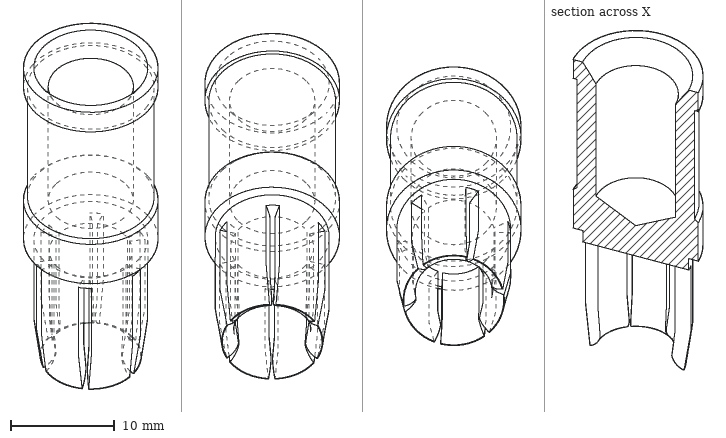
import cadquery as cq
import math

total_height = 37.0
rim_height = 2.5
collar_bottom = 15.0
collar_top = 20.42
bend_height = 5.0
slot_top = 13.5

rim_radius = 13.0 / 2
barrel_radius = 12.2 / 2
plug_radius = 11.0 / 2
tip_radius = 9.75 / 2

mouth_radius = 11.0 / 2
cup_radius = 8.2 / 2
countersink_depth = 2.4
cup_depth = 17.02
drill_point_angle = 118.0

socket_radius = 4.0
throat_radius = 3.7
throat_height = 1.75
nose_radius = 4.05
nose_height = 0.8
tip_land = 0.07

slot_count = 6
slot_width = 1.3
slot_wall_angle = 15.0
slot_clearance = 0.75

slot_pitch = 360.0 / slot_count


def make_body():
    collar_chamfer = rim_radius - barrel_radius
    return (
        cq.Workplane("XZ")
        .moveTo(0, 0)
        .lineTo(tip_radius, 0)
        .lineTo(plug_radius, bend_height)
        .lineTo(plug_radius, collar_bottom)
        .lineTo(rim_radius, collar_bottom)
        .lineTo(rim_radius, collar_top - collar_chamfer)
        .lineTo(barrel_radius, collar_top)
        .lineTo(barrel_radius, total_height - rim_height)
        .lineTo(rim_radius, total_height - rim_height)
        .lineTo(rim_radius, total_height)
        .lineTo(0, total_height)
        .close()
        .revolve(360, (0, 0, 0), (0, 1, 0))
    )


def make_cup():
    floor = total_height - cup_depth
    point_depth = cup_radius / math.tan(math.radians(drill_point_angle / 2))
    return (
        cq.Workplane("XZ")
        .moveTo(0, floor - point_depth)
        .lineTo(cup_radius, floor)
        .lineTo(cup_radius, total_height - countersink_depth)
        .lineTo(mouth_radius, total_height)
        .lineTo(0, total_height)
        .close()
        .revolve(360, (0, 0, 0), (0, 1, 0))
    )


def make_socket():
    return (
        cq.Workplane("XZ")
        .moveTo(0, 0)
        .lineTo(tip_radius - tip_land, 0)
        .threePointArc((nose_radius, nose_height), (throat_radius, throat_height))
        .lineTo(socket_radius, bend_height)
        .lineTo(socket_radius, slot_top)
        .lineTo(0, slot_top)
        .close()
        .revolve(360, (0, 0, 0), (0, 1, 0))
    )


def slot_section(finger_shift):
    """Triangle along +X between two fingers that have moved inward by finger_shift."""
    half_pitch = math.radians(slot_pitch / 2)
    slope = math.tan(math.radians(slot_wall_angle))
    edge_radius = plug_radius - finger_shift * math.cos(half_pitch)
    edge_half_width = slot_width / 2 - finger_shift * math.sin(half_pitch)
    apex_radius = edge_radius - edge_half_width / slope
    outer_radius = plug_radius + slot_clearance
    outer_half_width = (outer_radius - apex_radius) * slope
    return [
        (apex_radius, 0),
        (outer_radius, -outer_half_width),
        (outer_radius, outer_half_width),
    ]


def make_slot():
    straight = (
        cq.Workplane("XY", origin=(0, 0, bend_height))
        .polyline(slot_section(0))
        .close()
        .extrude(slot_top - bend_height)
    )
    leaning = (
        cq.Workplane("XY")
        .polyline(slot_section(plug_radius - tip_radius))
        .close()
        .workplane(offset=bend_height)
        .polyline(slot_section(0))
        .close()
        .loft(ruled=True)
    )
    return straight.union(leaning)


result = make_body().cut(make_cup()).cut(make_socket())

slot = make_slot()
for index in range(slot_count):
    slot_angle = -90 + index * slot_pitch
    result = result.cut(slot.rotate((0, 0, 0), (0, 0, 1), slot_angle))